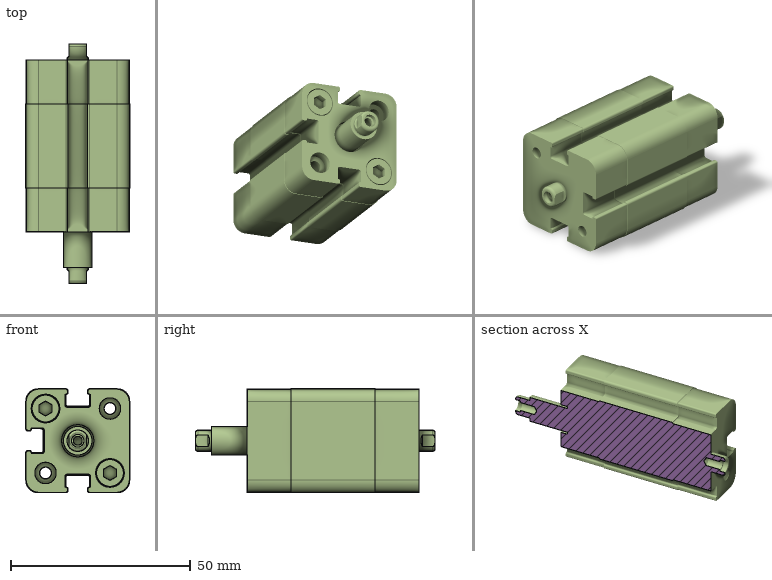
import cadquery as cq
import math

BARREL_SIDE = 29.05
CAP_SIDE = 28.8
CORNER_RADIUS = 3.5
BODY_LENGTH = 48.0
CAP_LENGTH = 12.25
BARREL_LENGTH = BODY_LENGTH - 2 * CAP_LENGTH

SLOT_DEPTH = 4.85
SLOT_THROAT_HALF_WIDTH = 2.72
SLOT_CHANNEL_HALF_WIDTH = 3.35
SLOT_LIP_THICKNESS = 1.45
SLOT_LIP_ROUND = 0.6
SLOT_UNDERSIDE_ROUND = 0.4
SLOT_FLOOR_ROUND = 0.6
CAP_SLOT_CLEARANCE = 0.2
SLOT_ANGLES = (0, 180, -90)

BOLT_SPACING = 18.0
BOLT_OFFSET = BOLT_SPACING / 2
HOLE_DIAMETER = 3.24
COUNTERBORE_DIAMETER = 6.0
COUNTERBORE_DEPTH = 3.5
SCREW_SEAT_DIAMETER = 8.0
SCREW_HEAD_DIAMETER = 7.5
SCREW_SEAT_DEPTH = 4.0
HEX_ACROSS_FLATS = 3.6
HEX_DEPTH = 2.5

ROD_DIAMETER = 8.0
ROD_STICKOUT = 10.0
ROD_RECESS_DIAMETER = 9.0
ROD_RECESS_DEPTH = 2.0
TIP_DIAMETER = 6.0
TIP_LENGTH = 4.5
TIP_ROUND = 0.8
FLAT_WIDTH = 5.0
FLAT_START = 1.0
TIP_BORE_DIAMETER = 2.46
TIP_BORE_DEPTH = 6.0
TIP_MOUTH_DIAMETER = 3.5
TIP_MOUTH_DEPTH = 1.5
DRILL_POINT_ANGLE = 118.0

FRONT_Y = -BODY_LENGTH / 2
REAR_Y = BODY_LENGTH / 2


def plane_at(y, x=0.0, z=0.0):
    """Work plane facing +Y, with its own x axis along -X and its y axis along +Z."""
    return cq.Workplane(cq.Plane(origin=(x, y, z), xDir=(-1, 0, 0), normal=(0, 1, 0)))


def disc(diameter, y, length, x=0.0, z=0.0):
    """Cylinder along +Y starting at the given Y."""
    return plane_at(y, x, z).circle(diameter / 2).extrude(length)


def slot_cutter(side, y, length, clearance):
    """T-slot with rounded lips, open at the top face of a square of the given side."""
    top = side / 2
    throat = SLOT_THROAT_HALF_WIDTH + clearance
    channel = SLOT_CHANNEL_HALF_WIDTH + clearance
    lip_round = SLOT_LIP_ROUND - clearance
    underside = top - SLOT_LIP_THICKNESS
    floor = top - SLOT_DEPTH - clearance
    return (
        plane_at(y)
        .moveTo(0, top)
        .lineTo(throat + lip_round, top)
        .radiusArc((throat, top - lip_round), -lip_round)
        .lineTo(throat, underside + SLOT_UNDERSIDE_ROUND)
        .tangentArcPoint((throat + SLOT_UNDERSIDE_ROUND, underside), relative=False)
        .lineTo(channel, underside)
        .lineTo(channel, floor + SLOT_FLOOR_ROUND)
        .tangentArcPoint((channel - SLOT_FLOOR_ROUND, floor), relative=False)
        .lineTo(0, floor)
        .mirrorY()
        .extrude(length)
    )


def body_section(side, y, length, clearance):
    """Rounded square block with a slot in each slotted side."""
    section = plane_at(y).rect(side, side).extrude(length).edges("|Y").fillet(CORNER_RADIUS)
    slot = slot_cutter(side, y, length, clearance)
    for angle in SLOT_ANGLES:
        section = section.cut(slot.rotate((0, 0, 0), (0, 1, 0), angle))
    return section


def mounting_hole(x, z):
    """Through hole, counterbored at the front."""
    through = disc(HOLE_DIAMETER, FRONT_Y, BODY_LENGTH, x, z)
    return through.union(disc(COUNTERBORE_DIAMETER, FRONT_Y, COUNTERBORE_DEPTH, x, z))


def screw_cutter(x, z):
    """Ring gap around a flush screw head, and the hexagon socket in the head."""
    seat = disc(SCREW_SEAT_DIAMETER, FRONT_Y, SCREW_SEAT_DEPTH, x, z)
    head = disc(SCREW_HEAD_DIAMETER, FRONT_Y, SCREW_SEAT_DEPTH, x, z)
    across_corners = HEX_ACROSS_FLATS / math.cos(math.pi / 6)
    socket_plane = plane_at(FRONT_Y, x, z).transformed(rotate=(0, 0, 90))
    socket = socket_plane.polygon(6, across_corners).extrude(HEX_DEPTH)
    return seat.cut(head).union(socket)


def flat_cutter():
    """Block that mills one flat on the +X side of the tip, ending in a 45-degree run-out."""
    flat_x = FLAT_WIDTH / 2
    reach = TIP_DIAMETER - FLAT_WIDTH
    return (
        cq.Workplane("XY")
        .polyline([
            (flat_x, TIP_LENGTH),
            (flat_x, FLAT_START),
            (flat_x + reach, FLAT_START - reach),
            (flat_x + reach, TIP_LENGTH),
        ])
        .close()
        .extrude(TIP_DIAMETER / 2, both=True)
    )


def rod_tip():
    """Tip pointing along +Y from the plane Y = 0, with a rounded end and two flats across X."""
    tip = disc(TIP_DIAMETER, 0, TIP_LENGTH).faces(">Y").edges().fillet(TIP_ROUND)
    flat = flat_cutter()
    return tip.cut(flat).cut(flat.mirror("YZ"))


def tip_bore():
    """Stepped blind bore with a drill point, entering the tip from its end."""
    bore_radius = TIP_BORE_DIAMETER / 2
    mouth_radius = TIP_MOUTH_DIAMETER / 2
    bore_end = TIP_LENGTH - TIP_BORE_DEPTH
    mouth_floor = TIP_LENGTH - TIP_MOUTH_DEPTH
    point_length = bore_radius / math.tan(math.radians(DRILL_POINT_ANGLE / 2))
    return (
        cq.Workplane("XY")
        .moveTo(0, bore_end - point_length)
        .lineTo(bore_radius, bore_end)
        .lineTo(bore_radius, mouth_floor)
        .lineTo(mouth_radius, mouth_floor)
        .lineTo(mouth_radius, TIP_LENGTH)
        .lineTo(0, TIP_LENGTH)
        .close()
        .revolve(360, (0, 0, 0), (0, 1, 0))
    )


def build():
    part = body_section(CAP_SIDE, FRONT_Y, CAP_LENGTH, CAP_SLOT_CLEARANCE)
    part = part.union(body_section(BARREL_SIDE, FRONT_Y + CAP_LENGTH, BARREL_LENGTH, 0.0))
    part = part.union(body_section(CAP_SIDE, REAR_Y - CAP_LENGTH, CAP_LENGTH, CAP_SLOT_CLEARANCE))

    for sign in (1, -1):
        part = part.cut(mounting_hole(sign * BOLT_OFFSET, sign * BOLT_OFFSET))
        part = part.cut(screw_cutter(sign * BOLT_OFFSET, -sign * BOLT_OFFSET))

    part = part.cut(disc(ROD_RECESS_DIAMETER, FRONT_Y, ROD_RECESS_DEPTH))
    rod_front = FRONT_Y - ROD_STICKOUT
    part = part.union(disc(ROD_DIAMETER, rod_front, ROD_STICKOUT + ROD_RECESS_DEPTH))

    for base_y, turn in ((REAR_Y, 0), (rod_front, 180)):
        tip = rod_tip().rotate((0, 0, 0), (0, 0, 1), turn).translate((0, base_y, 0))
        bore = tip_bore().rotate((0, 0, 0), (0, 0, 1), turn).translate((0, base_y, 0))
        part = part.union(tip).cut(bore)
    return part


result = build()